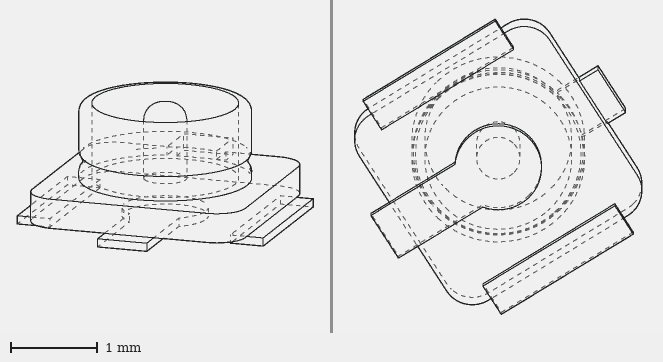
import cadquery as cq

total_height = 1.35
pad_thickness = 0.1
base_top = 0.45

base_side = 2.6
base_corner_radius = 0.35

pad_outer_x = 1.5
pad_inner_x = 1.1
pad_length = 1.8
tab_width = 0.6
tab_reach = 1.55
contact_diameter = 1.0
rear_tab_bottom = 0.35
rear_tab_top = 0.55

shell_radius = 2.0 / 2
bore_radius = 1.7 / 2
rim_fillet = 0.1

groove_bottom = 0.533
groove_lower_blend = 0.583
groove_lower_flank = 0.605
groove_upper_flank = 0.707
groove_upper_blend = 0.738
groove_top = 0.778
blend_depth = 0.02
flank_depth = 0.03
groove_depth = 0.043
blend_bulge = 0.0043

pin_radius = 0.5 / 2
pin_top = total_height
pin_tip_radius = 0.05


def box(x_min, x_max, y_min, y_max, z_min, z_max):
    size = (x_max - x_min, y_max - y_min, z_max - z_min)
    return cq.Workplane("XY").box(*size, centered=False).translate((x_min, y_min, z_min))


def make_base():
    plate = cq.Workplane("XY").workplane(offset=pad_thickness)
    plate = plate.rect(base_side, base_side).extrude(base_top - pad_thickness)
    return plate.edges("|Z").fillet(base_corner_radius)


def make_shell():
    blend_radius = shell_radius - blend_depth
    flank_radius = shell_radius - flank_depth
    bulge_radius = shell_radius - blend_bulge
    lower_middle = (groove_bottom + groove_lower_blend) / 2
    groove_middle = (groove_lower_flank + groove_upper_flank) / 2
    upper_middle = (groove_upper_blend + groove_top) / 2
    wall = (
        cq.Workplane("XZ")
        .moveTo(bore_radius, pad_thickness)
        .lineTo(shell_radius, pad_thickness)
        .lineTo(shell_radius, groove_bottom)
        .threePointArc((bulge_radius, lower_middle), (blend_radius, groove_lower_blend))
        .lineTo(flank_radius, groove_lower_flank)
        .threePointArc((shell_radius - groove_depth, groove_middle), (flank_radius, groove_upper_flank))
        .lineTo(blend_radius, groove_upper_blend)
        .threePointArc((bulge_radius, upper_middle), (shell_radius, groove_top))
        .lineTo(shell_radius, total_height)
        .lineTo(bore_radius, total_height)
        .close()
        .revolve(360, (0, 0, 0), (0, 1, 0))
    )
    return wall.faces(">Z").edges(cq.selectors.RadiusNthSelector(-1)).fillet(rim_fillet)


def make_pin():
    pin = cq.Workplane("XY").workplane(offset=pad_thickness).circle(pin_radius).extrude(pin_top - pad_thickness)
    return pin.faces(">Z").edges().fillet(pin_radius - pin_tip_radius)


def make_contacts():
    contacts = cq.Workplane("XY").circle(contact_diameter / 2).extrude(pad_thickness)
    contacts = contacts.union(box(-tab_width / 2, tab_width / 2, -tab_reach, 0, 0, pad_thickness))

    for x_min in (-pad_outer_x, pad_inner_x):
        x_max = x_min + pad_outer_x - pad_inner_x
        contacts = contacts.union(box(x_min, x_max, -pad_length / 2, pad_length / 2, 0, pad_thickness))

    tab_inner_y = (bore_radius + shell_radius) / 2
    rear_tab = box(-tab_width / 2, tab_width / 2, tab_inner_y, tab_reach, rear_tab_bottom, rear_tab_top)
    return contacts.union(rear_tab)


floor = cq.Workplane("XY").workplane(offset=pad_thickness).circle(bore_radius)
floor = floor.extrude(base_top - pad_thickness)

result = make_base().union(make_shell()).union(floor).union(make_pin()).union(make_contacts())